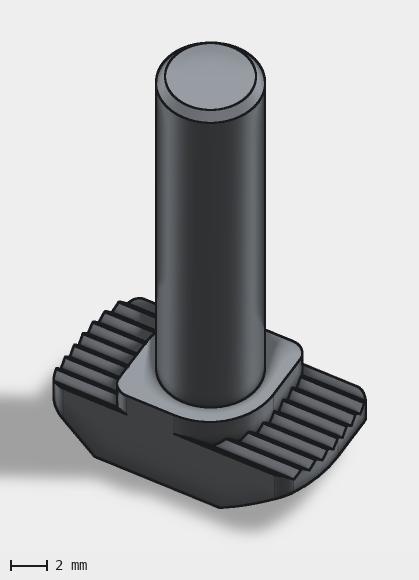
import cadquery as cq

total_height = 29.5
head_length = 16.0
width = 8.0
head_height = 4.5
bevel_height = 3.0
neck_top = 6.0
shaft_diameter = 6.0
shaft_chamfer = 0.5
corner_radius = 1.0
body_center_y = -0.1
tooth_pitch = 1.0
grooves_per_side = 5
tooth_depth = 0.47
crest_flat = 0.1

half_width = width / 2
half_length = head_length / 2
base_half_length = half_length - bevel_height


def half_rounded_prism(reach, height, center_y):
    """Prism with ends at X = +-reach, each half straight and half an arc about the Z axis."""
    bar = cq.Workplane("XY").center(0, center_y).rect(2 * reach, width).extrude(height)
    disc = cq.Workplane("XY").circle(reach).extrude(height)
    straight_right = cq.Workplane("XY").rect(reach, width, centered=False).extrude(height)
    straight_left = straight_right.rotate((0, 0, 0), (0, 0, 1), 180)
    return disc.union(straight_right).union(straight_left).intersect(bar)


def bevel_envelope():
    """Conical bevel under the rounded ends, flat bevel under the straight ends."""
    half_profile = [
        (0, 0),
        (base_half_length, 0),
        (half_length, bevel_height),
        (half_length, head_height),
        (0, head_height),
    ]
    cone = cq.Workplane("XZ").polyline(half_profile).close().revolve(360, (0, 0), (0, 1))
    flat_right = cq.Workplane("XZ").polyline(half_profile).close().extrude(-width)
    flat_left = flat_right.rotate((0, 0, 0), (0, 0, 1), 180)
    return cone.union(flat_right).union(flat_left)


def serration_grooves():
    """V grooves along X, evenly spaced with a crest above the shaft axis."""
    groove_half_width = (tooth_pitch - crest_flat) / 2
    groove = (
        cq.Workplane("YZ")
        .polyline([
            (-groove_half_width, head_height),
            (0, head_height - tooth_depth),
            (groove_half_width, head_height),
        ])
        .close()
        .extrude(half_length, both=True)
    )
    grooves = cq.Workplane("XY")
    for index in range(-grooves_per_side, grooves_per_side):
        groove_y = (index + 0.5) * tooth_pitch
        grooves = grooves.add(groove.translate((0, groove_y, 0)))
    return grooves.combine()


def make_head():
    plan = half_rounded_prism(half_length, head_height, body_center_y)
    side_corners = plan.edges("|Z").edges("<Y or >Y")
    return side_corners.fillet(corner_radius).intersect(bevel_envelope()).cut(serration_grooves())


def make_neck():
    """Square neck with two large quarter-round corners and two small rounded ones."""
    neck = half_rounded_prism(half_width, neck_top, 0)
    sharp_corners = neck.edges("|Z").edges("<(1,1,0) or >(1,1,0)")
    return sharp_corners.fillet(corner_radius).translate((0, body_center_y, 0))


def make_shaft():
    return (
        cq.Workplane("XY")
        .circle(shaft_diameter / 2)
        .extrude(total_height)
        .faces(">Z")
        .chamfer(shaft_chamfer)
    )


result = make_head().union(make_neck()).union(make_shaft())